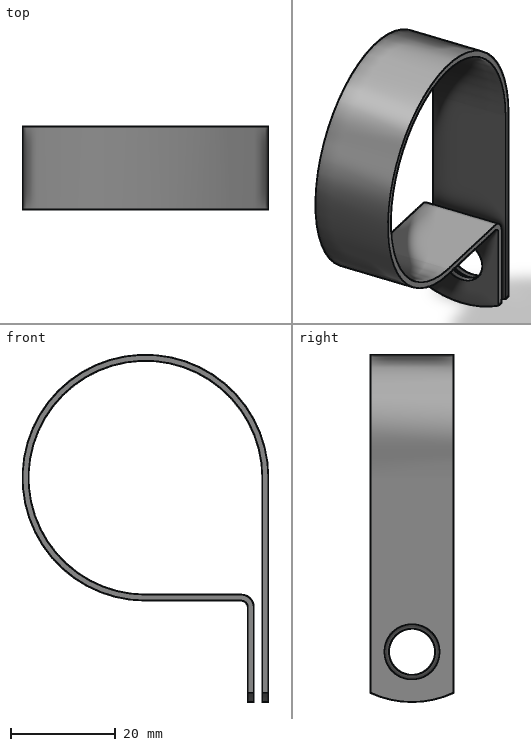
import cadquery as cq
import math

height = 66.2
width = 15.9
thickness = 1.2
outer_radius = 23.45
leg_gap = 1.6
bend_inner_radius = 1.25
short_leg_hole_diameter = 8.75
long_leg_hole_diameter = 10.5
hole_height = 9.6
tip_rise = 1.8

inner_radius = outer_radius - thickness
tip_z = outer_radius - height
short_leg_outer_x = inner_radius - leg_gap
short_leg_inner_x = short_leg_outer_x - thickness
bend_outer_radius = bend_inner_radius + thickness
bend_x = short_leg_outer_x - bend_outer_radius
bend_z = -inner_radius - bend_outer_radius


def bend_middle(radius):
    """Midpoint of a quarter-circle bend between the flat and the short leg."""
    offset = radius * math.sqrt(0.5)
    return bend_x + offset, bend_z + offset


def loop_middle(radius):
    """Midpoint of the three-quarter loop, at its upper left."""
    offset = radius * math.sqrt(0.5)
    return -offset, offset


def make_strap():
    """Bent strip: long leg, loop, flat and short leg."""
    return (
        cq.Workplane("XZ")
        .moveTo(outer_radius, tip_z)
        .lineTo(outer_radius, 0)
        .threePointArc(loop_middle(outer_radius), (0, -outer_radius))
        .lineTo(bend_x, -outer_radius)
        .threePointArc(bend_middle(bend_inner_radius), (short_leg_inner_x, bend_z))
        .lineTo(short_leg_inner_x, tip_z)
        .lineTo(short_leg_outer_x, tip_z)
        .lineTo(short_leg_outer_x, bend_z)
        .threePointArc(bend_middle(bend_outer_radius), (bend_x, -inner_radius))
        .lineTo(0, -inner_radius)
        .threePointArc(loop_middle(inner_radius), (inner_radius, 0))
        .lineTo(inner_radius, tip_z)
        .close()
        .extrude(width / 2, both=True)
    )


def make_end_envelope():
    """Side outline with a curved bottom that rounds both leg ends."""
    return (
        cq.Workplane("YZ")
        .moveTo(-width / 2, outer_radius)
        .lineTo(-width / 2, tip_z + tip_rise)
        .threePointArc((0, tip_z), (width / 2, tip_z + tip_rise))
        .lineTo(width / 2, outer_radius)
        .close()
        .extrude(outer_radius, both=True)
    )


def make_bolt_hole(diameter, start_x, end_x):
    """Cylinder along X between two positions, for the hole in one leg."""
    return (
        cq.Workplane("YZ", origin=(start_x, 0, tip_z + hole_height))
        .circle(diameter / 2)
        .extrude(end_x - start_x)
    )


gap_middle_x = inner_radius - leg_gap / 2
short_leg_hole = make_bolt_hole(short_leg_hole_diameter, 0, gap_middle_x)
long_leg_hole = make_bolt_hole(long_leg_hole_diameter, gap_middle_x, outer_radius)

result = make_strap().intersect(make_end_envelope())
result = result.cut(short_leg_hole).cut(long_leg_hole)